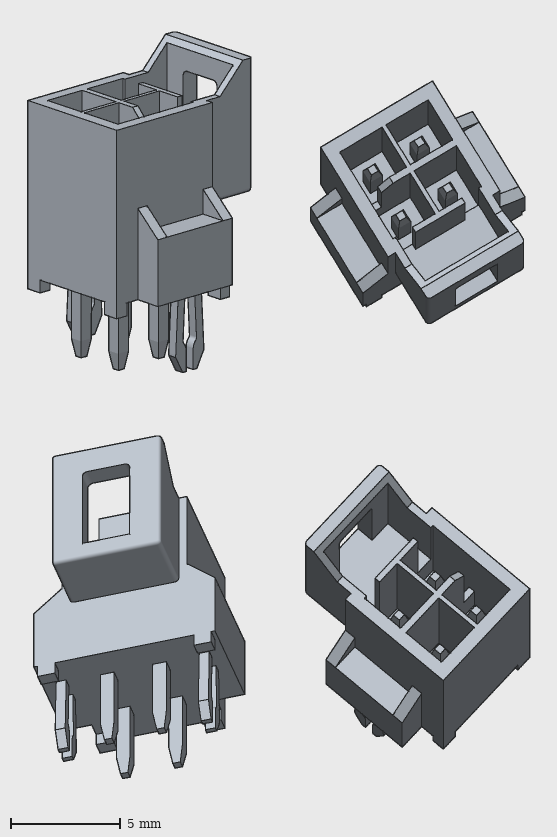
import cadquery as cq


overall_x = 8.66
overall_y = 8.84
overall_z = 13.71

housing_width = 5.97
housing_half = housing_width / 2
housing_height = 8.45
foot_height = 0.62

pin_pitch = 2.5
cavity_half_x = 2.36
cavity_back_y = 2.37
cavity_front_y = -2.33
cell_floor_z = 2.5
column_divider = 0.21
row_divider = 0.33
divider_flat_end_x = 1.02
divider_end_x = 1.64
tongue_half_x = 1.32
tongue_thickness = 0.28

shell_width = 5.2
shell_back_y = overall_y - housing_half
shell_top_z = 9.88
shell_bottom_z = 3.43
shell_cavity_width = 4.44
shell_back_wall = 0.86
shell_floor_z = shell_bottom_z + shell_back_wall
shell_rim_depth = 0.6
shell_rounding = 0.2
window_width = 2.26
window_top_z = 8.56
window_rounding = 0.25

ear_outer_x = overall_x / 2
ear_wall = 0.58
ear_front_y = -1.67
ear_floor_z = 3.21
ear_rib_top_z = 4.4

foot_width = 0.83
front_foot_depth = 0.63
rear_foot_outer_x = 4.15

pin_width = 0.65
pin_tip_width = 0.36
pin_taper = 0.86
pin_bottom_z = shell_top_z - overall_z
pin_top_z = 6.0

clip_x = 3.42
clip_y = 0.95
clip_thickness = 0.48
clip_embedment = 0.3
clip_bend_z = -0.3


def box(x_min, x_max, y_min, y_max, z_min, z_max):
    size = (x_max - x_min, y_max - y_min, z_max - z_min)
    return cq.Workplane("XY").box(*size, centered=False).translate((x_min, y_min, z_min))


def make_latch_shell():
    """Round-edged block with a 45 degree bevel across its top, rising above the housing."""
    half = shell_width / 2
    shell = box(-half, half, 0, shell_back_y, shell_bottom_z, shell_top_z)
    shell = shell.edges("(>Y and |Z) or <Z").edges("not <Y").fillet(shell_rounding)
    rim_y = shell_back_y - shell_rim_depth
    bevel_drop = shell_top_z - housing_height
    removed = (
        cq.Workplane("YZ")
        .moveTo(rim_y, shell_top_z)
        .lineTo(rim_y - bevel_drop, housing_height)
        .lineTo(0, housing_height)
        .lineTo(0, shell_top_z)
        .close()
        .extrude(half, both=True)
    )
    return shell.cut(removed)


def cut_cavities(body):
    """Open one common pocket; the dividers are put back afterwards."""
    inner_back_y = shell_back_y - shell_back_wall
    half = shell_cavity_width / 2
    cells = box(-cavity_half_x, cavity_half_x, cavity_front_y, cavity_back_y, cell_floor_z, housing_height)
    shell_cavity = box(-half, half, cavity_back_y, inner_back_y, shell_floor_z, shell_top_z)
    window_half = window_width / 2
    window = box(-window_half, window_half, inner_back_y, shell_back_y, shell_floor_z, window_top_z)
    window = window.edges("|Y and >Z").fillet(window_rounding)
    return body.cut(cells).cut(shell_cavity).cut(window)


def make_dividers():
    """Cross of two thin walls with a tongue closing the back of the middle column wall."""
    column_half = column_divider / 2
    row_half = row_divider / 2
    column = box(-column_half, column_half, cavity_front_y, cavity_back_y, cell_floor_z, housing_height)
    bevel = divider_end_x - divider_flat_end_x
    row = (
        cq.Workplane("XZ")
        .moveTo(-cavity_half_x, cell_floor_z)
        .lineTo(-cavity_half_x, housing_height)
        .lineTo(divider_flat_end_x, housing_height)
        .lineTo(divider_end_x, housing_height - bevel)
        .lineTo(divider_end_x, shell_floor_z)
        .lineTo(cavity_half_x, shell_floor_z)
        .lineTo(cavity_half_x, cell_floor_z)
        .close()
        .extrude(row_half, both=True)
    )
    tongue_back_y = cavity_back_y + tongue_thickness
    tongue = box(
        -tongue_half_x, tongue_half_x, cavity_back_y, tongue_back_y, shell_floor_z, housing_height
    )
    return column.union(row).union(tongue)


def make_right_ear():
    """Solid ear with a sloped rib at each end of its open top."""
    profile = (
        cq.Workplane("XZ", origin=(0, housing_half, 0))
        .moveTo(cavity_half_x, 0)
        .lineTo(ear_outer_x, 0)
        .lineTo(ear_outer_x, ear_floor_z)
        .lineTo(housing_half, ear_rib_top_z)
        .lineTo(cavity_half_x, ear_rib_top_z)
        .close()
        .extrude(housing_half - ear_front_y)
    )
    trough = box(
        housing_half,
        ear_outer_x,
        ear_front_y + ear_wall,
        housing_half - ear_wall,
        ear_floor_z,
        ear_rib_top_z,
    )
    return profile.cut(trough)


def make_right_feet():
    front = box(
        housing_half - foot_width,
        housing_half,
        -housing_half,
        front_foot_depth - housing_half,
        -foot_height,
        0,
    )
    rear = box(
        rear_foot_outer_x - foot_width,
        rear_foot_outer_x,
        housing_half - ear_wall,
        housing_half,
        -foot_height,
        0,
    )
    return front.union(rear)


def make_pin():
    """Square pin, tapered at both ends."""
    top_shoulder = pin_top_z - pin_taper
    bottom_shoulder = pin_bottom_z + pin_taper
    half = pin_width / 2
    shank = box(-half, half, -half, half, bottom_shoulder, top_shoulder)
    for shoulder_z, tip_z in ((top_shoulder, pin_top_z), (bottom_shoulder, pin_bottom_z)):
        tip = (
            cq.Workplane("XY", origin=(0, 0, shoulder_z))
            .rect(pin_width, pin_width)
            .workplane(offset=tip_z - shoulder_z)
            .rect(pin_tip_width, pin_tip_width)
            .loft(ruled=True)
        )
        shank = shank.union(tip)
    return shank


def make_right_clip():
    """Forked board clip: two splayed legs with pointed, inward-stepped ends."""
    inner_root, outer_root = 0.31, 0.74
    inner_knee, outer_knee = 0.42, 0.88
    inner_tip, outer_tip = 0.21, 0.44
    inner_knee_z, inner_step_z = -2.4, -2.81
    outer_knee_z, outer_point_z = -2.9, -3.01
    step_bulge = (0.275, -2.58)
    bend_length = 0.05
    splay_slope = (outer_knee - outer_root) / (clip_bend_z - outer_knee_z)
    bend_end = (outer_root + splay_slope * bend_length / 2, clip_bend_z - bend_length)
    knee_radius = 0.2
    leg = (
        cq.Workplane("YZ", origin=(clip_x - clip_thickness / 2, clip_y, 0))
        .moveTo(inner_root, clip_embedment)
        .lineTo(outer_root, clip_embedment)
        .lineTo(outer_root, clip_bend_z)
        .tangentArcPoint(bend_end, relative=False)
        .lineTo(outer_knee, outer_knee_z)
        .lineTo(outer_knee, outer_point_z)
        .lineTo(outer_tip, pin_bottom_z)
        .lineTo(inner_tip, pin_bottom_z)
        .lineTo(inner_tip, inner_step_z)
        .threePointArc(step_bulge, (inner_knee, inner_knee_z))
        .lineTo(inner_root, clip_bend_z)
        .close()
        .extrude(clip_thickness)
    )
    inner_corner = (clip_x, clip_y + inner_knee, inner_knee_z)
    leg = leg.edges("|X").edges(cq.selectors.NearestToPointSelector(inner_corner)).fillet(knee_radius)
    return leg.union(leg.mirror("XZ", (0, clip_y, 0)))


body = box(-housing_half, housing_half, -housing_half, housing_half, 0, housing_height)
body = cut_cavities(body.union(make_latch_shell())).union(make_dividers())

for right_side_part in (make_right_ear(), make_right_feet(), make_right_clip()):
    body = body.union(right_side_part).union(right_side_part.mirror("YZ"))

pin_offset = pin_pitch / 2
for pin_x in (-pin_offset, pin_offset):
    for pin_y in (-pin_offset, pin_offset):
        body = body.union(make_pin().translate((pin_x, pin_y, 0)))

result = body